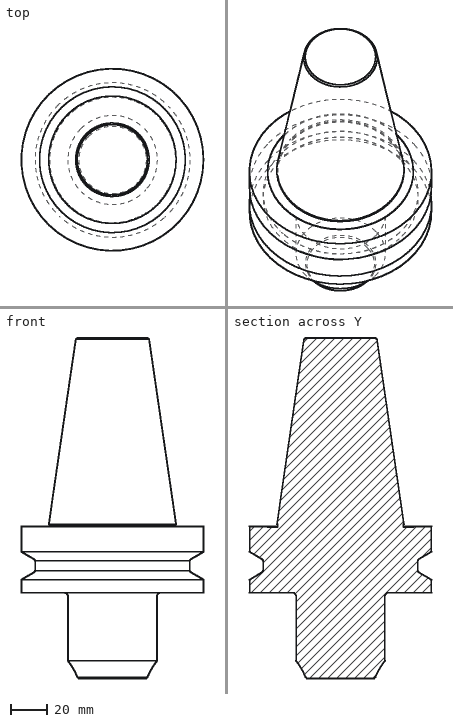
import cadquery as cq
import math


gauge_radius = 69.85 / 2
taper_length = 101.8
taper_slope = 7 / 24 / 2
tail_chamfer = 0.8

taper_bottom = -0.3
neck_radius = 34.5
neck_top = -0.9

flange_radius = 50.0
flange_top = -1.5
flange_bottom = -38.0

seat_radius = 40.0
seat_depth = 0.3

groove_top = -15.6
groove_bottom = -30.7
groove_floor_radius = 42.5
groove_flank_angle = 30.0
groove_corner_radius = 1.0

nose_radius = 24.5
nose_bottom = -85.0
nose_fillet = 2.0
nose_taper_top = -75.3
nose_tip_radius = 19.3
tip_chamfer = 0.8
nose_hollow = 0.4


def make_body():
    """Revolve the half section of taper, flange and nose."""
    tail_radius = gauge_radius - taper_length * taper_slope
    tip_edge_height = nose_bottom + tip_chamfer
    hollow_point = (
        (nose_radius + nose_tip_radius) / 2 - nose_hollow,
        (nose_taper_top + tip_edge_height) / 2,
    )
    seat_height = flange_top - seat_depth
    section = (
        cq.Workplane("XZ")
        .moveTo(0, taper_length)
        .lineTo(tail_radius - tail_chamfer, taper_length)
        .lineTo(tail_radius + tail_chamfer * taper_slope, taper_length - tail_chamfer)
        .lineTo(gauge_radius - taper_bottom * taper_slope, taper_bottom)
        .lineTo(neck_radius, neck_top)
        .lineTo(neck_radius, seat_height)
        .lineTo(seat_radius, seat_height)
        .lineTo(seat_radius, flange_top)
        .lineTo(flange_radius, flange_top)
        .lineTo(flange_radius, flange_bottom)
        .lineTo(nose_radius + nose_fillet, flange_bottom)
        .radiusArc((nose_radius, flange_bottom - nose_fillet), -nose_fillet)
        .lineTo(nose_radius, nose_taper_top)
        .threePointArc(hollow_point, (nose_tip_radius, tip_edge_height))
        .lineTo(nose_tip_radius - tip_chamfer, nose_bottom)
        .lineTo(0, nose_bottom)
        .close()
    )
    return section.revolve(360, (0, 0, 0), (0, 1, 0))


def make_groove_cutter():
    """Ring with the V-groove section, its floor corners rounded."""
    flank_height = (flange_radius - groove_floor_radius) * math.tan(math.radians(groove_flank_angle))
    section = (
        cq.Workplane("XZ")
        .moveTo(flange_radius, groove_top)
        .lineTo(groove_floor_radius, groove_top - flank_height)
        .lineTo(groove_floor_radius, groove_bottom + flank_height)
        .lineTo(flange_radius, groove_bottom)
        .close()
    )
    half_flank = flank_height / 2
    ring = section.revolve(360, (0, 0, 0), (0, 1, 0))
    floor_edges = cq.selectors.BoxSelector(
        (-flange_radius, -flange_radius, groove_bottom + half_flank),
        (flange_radius, flange_radius, groove_top - half_flank),
    )
    return ring.edges(floor_edges).edges("%CIRCLE").fillet(groove_corner_radius)


result = make_body().cut(make_groove_cutter())